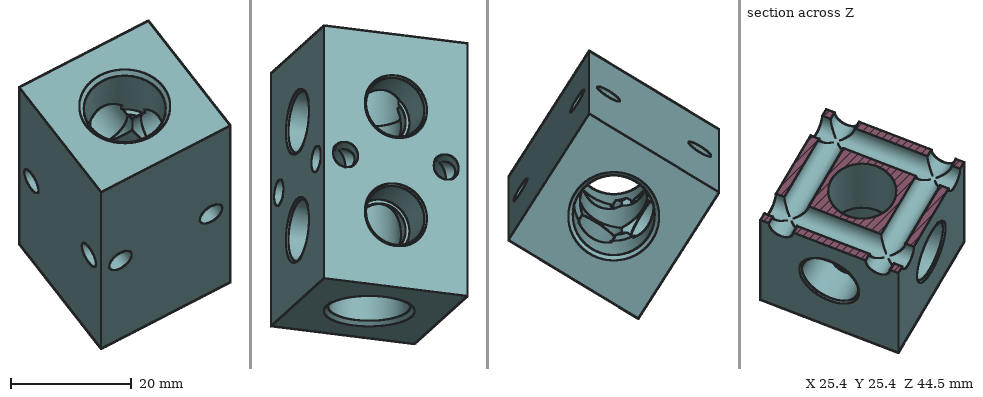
import cadquery as cq

width = 25.4
height = 44.45

main_bore_dia = 11.2
main_port_dia = 13.6
main_port_floor_dia = 13.2
main_port_mouth_dia = 15.05
main_port_depth = 10.0

side_bore_dia = 8.5
side_port_dia = 10.3
side_port_floor_dia = 9.82
side_port_mouth_dia = 11.0
side_port_depth = 6.8
side_port_height = 9.5

mount_dia = 4.4
mount_offset = 8.9


def port(face_point, inward, bore_dia, port_dia, floor_dia, mouth_dia, port_depth, bore_depth):
    """Cutter for a bore entered through a tapered port with a 45-degree countersunk mouth."""
    bore_radius = bore_dia / 2
    port_radius = port_dia / 2
    mouth_radius = mouth_dia / 2
    origin = cq.Vector(*face_point)
    direction = cq.Vector(*inward)
    bore = cq.Solid.makeCylinder(bore_radius, bore_depth, origin, direction)
    tapered_port = cq.Solid.makeCone(port_radius, floor_dia / 2, port_depth, origin, direction)
    countersink_depth = mouth_radius - port_radius
    countersink = cq.Solid.makeCone(mouth_radius, port_radius, countersink_depth, origin, direction)
    return cq.Workplane(bore).union(cq.Workplane(tapered_port)).union(cq.Workplane(countersink))


result = cq.Workplane("XY").box(width, width, height)

for end in (1, -1):
    result = result.cut(port(
        (0, 0, end * height / 2), (0, 0, -end),
        main_bore_dia, main_port_dia, main_port_floor_dia, main_port_mouth_dia,
        main_port_depth, height / 2,
    ))

for level in (side_port_height, -side_port_height):
    for face_point, inward in (
        ((-width / 2, 0, level), (1, 0, 0)),
        ((0, width / 2, level), (0, -1, 0)),
    ):
        result = result.cut(port(
            face_point, inward,
            side_bore_dia, side_port_dia, side_port_floor_dia, side_port_mouth_dia,
            side_port_depth, width / 2,
        ))

for plane in ("XZ", "YZ"):
    mounting_holes = (
        cq.Workplane(plane)
        .pushPoints([(-mount_offset, 0), (mount_offset, 0)])
        .circle(mount_dia / 2)
        .extrude(width / 2, both=True)
    )
    result = result.cut(mounting_holes)